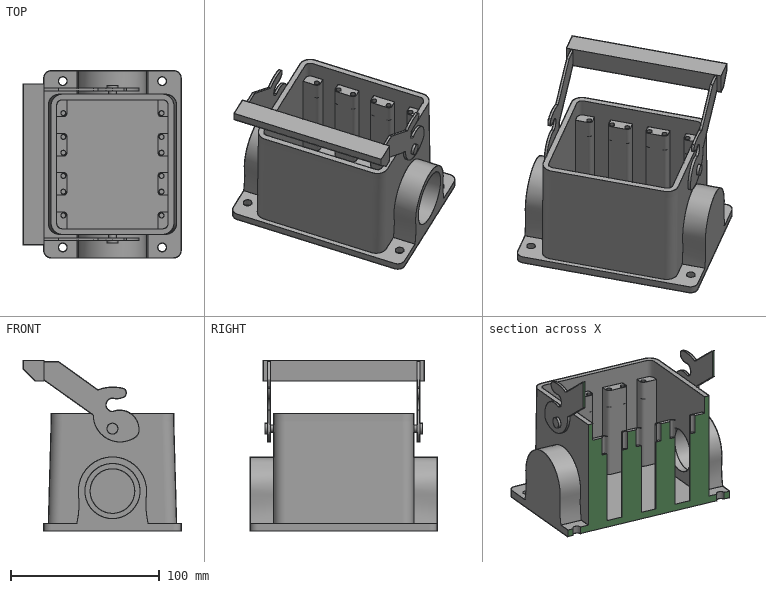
import cadquery as cq
import math


BASE_WIDTH = 92.5
BASE_LENGTH = 126.0
BASE_THICKNESS = 5.2
BASE_CORNER_RADIUS = 5.2
MOUNT_HOLE_DIAMETER = 5.7
MOUNT_HOLE_SPACING_X = 66.8
MOUNT_HOLE_SPACING_Y = 111.8

BOX_LENGTH = 94.2
BOX_BOTTOM_WIDTH = 86.3
RIM_WIDTH = 82.5
RIM_BOTTOM_Z = 73.5
RIM_TOP_Z = 79.1
BOX_CORNER_RADIUS = 7.5
WALL = 3.8
CAVITY_WIDTH = RIM_WIDTH - 2 * WALL
CAVITY_LENGTH = BOX_LENGTH - 2 * WALL

PILLAR_TOP_Z = 67.0
PILLAR_FACE_X = 30.6
SCREW_HOLE_DIAMETER = 3.3
SCREW_HOLE_DEPTH = 12.6
SCREW_HOLE_EDGE = 2.4
MIDDLE_PILLAR_LENGTH = 15.4
MIDDLE_PILLAR_Y = 13.1
CORNER_PILLAR_START_Y = 32.0

ENTRY_Z = 27.0
BOSS_RADIUS = 22.9
BOSS_SHOULDER_DROP = 2.5
BOSS_WAIST_HALF_WIDTH = 22.4
BOSS_WAIST_Z = 18.0
BOSS_FOOT_HALF_WIDTH = 24.0
ENTRY_BORE_RADIUS = 18.5
ENTRY_BORE_DEPTH = 14.6
ENTRY_HOLE_RADIUS = 15.0

BAR_LENGTH = 108.2
BAR_LEFT_X = -60.0
BAR_SIZE = 14.0
BAR_TOP_Z = 114.8
BAR_CHAMFER = 8.1
ARM_OUTER_Y = 51.2
ARM_THICKNESS = 1.8
PIVOT_Z = 68.9
PIVOT_DIAMETER = 5.2
PIVOT_HEAD_DIAMETER = 7.3
PIVOT_HEAD_THICKNESS = 1.9
ARM_TOP_Z = 113.9
NOTCH_RADIUS = 4.4
NOTCH_X = 0.1
NOTCH_Z = 84.9
CAM_RADIUS = 12.9
CAM_X = 4.9
CAM_Z = 68.5
CAM_NOSE = (17.4, 65.5)
CAM_NOSE_END = (15.5, 63.3)
CAM_UNDERSIDE = (0, 60.7)
CAM_HEEL_X = -12.7
CAM_HEEL_BOTTOM_Z = 75.5
CAM_HEEL_TOP_Z = 77.9
SHANK_TOP_CORNER_X = -36.2
SHANK_HOOK_CORNER = (-9.8, 95.0)
SHANK_BOTTOM_Z = 101.5
HOOK_CREST = (0.1, 96.9)
HOOK_TIP_TOP = (7.7, 95.9)
HOOK_TIP = (9.3, 93.0)
HOOK_TIP_BOTTOM = (7.7, 90.1)
HOOK_LOBE = (3.0, 89.0)


def rounded_block(bottom_width, top_width, length, radius, bottom_z, top_z):
    """Upright block with rounded corners whose width changes evenly from bottom to top."""
    bottom = cq.Sketch().rect(bottom_width, length).vertices().fillet(radius)
    top = cq.Sketch().rect(top_width, length).vertices().fillet(radius)
    return (
        cq.Workplane("XY", origin=(0, 0, bottom_z))
        .placeSketch(bottom, top.moved(cq.Location(cq.Vector(0, 0, top_z - bottom_z))))
        .loft(ruled=True)
    )


def outer_box():
    radius = BOX_CORNER_RADIUS
    tapered = rounded_block(BOX_BOTTOM_WIDTH, RIM_WIDTH, BOX_LENGTH, radius, BASE_THICKNESS, RIM_BOTTOM_Z)
    rim = rounded_block(RIM_WIDTH, RIM_WIDTH, BOX_LENGTH, radius, RIM_BOTTOM_Z, RIM_TOP_Z)
    return tapered.union(rim)


def cavity():
    """Straight-sided cavity down to the floor, leaving the pillars standing in it."""
    return (
        cq.Workplane("XY", origin=(0, 0, BASE_THICKNESS))
        .rect(CAVITY_WIDTH, CAVITY_LENGTH)
        .extrude(RIM_TOP_Z - BASE_THICKNESS)
        .edges("|Z")
        .fillet(BOX_CORNER_RADIUS - WALL)
        .cut(pillars())
    )


def base_flange():
    return (
        cq.Workplane("XY")
        .rect(BASE_WIDTH, BASE_LENGTH)
        .extrude(BASE_THICKNESS)
        .edges("|Z")
        .fillet(BASE_CORNER_RADIUS)
        .faces(">Z")
        .workplane()
        .rect(MOUNT_HOLE_SPACING_X, MOUNT_HOLE_SPACING_Y, forConstruction=True)
        .vertices()
        .hole(MOUNT_HOLE_DIAMETER)
    )


def entry_bosses():
    """Both arched bosses as one bar along Y, flaring out to a wider foot on the flange."""
    shoulder_x = math.sqrt(BOSS_RADIUS**2 - BOSS_SHOULDER_DROP**2)
    shoulder_z = ENTRY_Z - BOSS_SHOULDER_DROP
    return (
        cq.Workplane("XZ")
        .moveTo(-BOSS_FOOT_HALF_WIDTH, BASE_THICKNESS)
        .threePointArc((-BOSS_WAIST_HALF_WIDTH, BOSS_WAIST_Z), (-shoulder_x, shoulder_z))
        .threePointArc((0, ENTRY_Z + BOSS_RADIUS), (shoulder_x, shoulder_z))
        .threePointArc((BOSS_WAIST_HALF_WIDTH, BOSS_WAIST_Z), (BOSS_FOOT_HALF_WIDTH, BASE_THICKNESS))
        .close()
        .extrude(BASE_LENGTH / 2, both=True)
    )


def entry_opening():
    """Stepped opening on the -Y side: a wide bore in the boss and a smaller hole in the wall."""
    cavity_depth = (BASE_LENGTH - CAVITY_LENGTH) / 2
    outer_face = cq.Workplane("XZ", origin=(0, -BASE_LENGTH / 2, ENTRY_Z))
    bore = outer_face.circle(ENTRY_BORE_RADIUS).extrude(-ENTRY_BORE_DEPTH)
    hole = outer_face.circle(ENTRY_HOLE_RADIUS).extrude(-cavity_depth)
    return bore.union(hole)


def pillar(side, start_y, end_y):
    """Pillar from the floor, between two Y positions, reaching out past the cavity wall."""
    outer_x = BOX_BOTTOM_WIDTH / 2
    return (
        cq.Workplane("XY", origin=(0, 0, BASE_THICKNESS))
        .center(side * (PILLAR_FACE_X + outer_x) / 2, (start_y + end_y) / 2)
        .rect(outer_x - PILLAR_FACE_X, abs(end_y - start_y))
        .extrude(PILLAR_TOP_Z - BASE_THICKNESS)
        .edges("|Z")
        .fillet(SCREW_HOLE_EDGE)
    )


def pillars():
    """Two middle pillars and two corner pillars on each long side."""
    middle_start = MIDDLE_PILLAR_Y - MIDDLE_PILLAR_LENGTH / 2
    middle_end = MIDDLE_PILLAR_Y + MIDDLE_PILLAR_LENGTH / 2
    group = cq.Workplane("XY")
    for side in (-1, 1):
        for end in (-1, 1):
            group = group.union(pillar(side, end * middle_start, end * middle_end))
            group = group.union(pillar(side, end * CORNER_PILLAR_START_Y, end * BOX_LENGTH / 2))
    return group


def screw_holes():
    hole_x = PILLAR_FACE_X + SCREW_HOLE_EDGE
    middle_offset = MIDDLE_PILLAR_LENGTH / 2 - SCREW_HOLE_EDGE
    hole_ys = (
        MIDDLE_PILLAR_Y - middle_offset,
        MIDDLE_PILLAR_Y + middle_offset,
        CORNER_PILLAR_START_Y + SCREW_HOLE_EDGE,
    )
    points = [(sx * hole_x, sy * y) for sx in (-1, 1) for sy in (-1, 1) for y in hole_ys]
    return (
        cq.Workplane("XY", origin=(0, 0, PILLAR_TOP_Z))
        .pushPoints(points)
        .circle(SCREW_HOLE_DIAMETER / 2)
        .extrude(-SCREW_HOLE_DEPTH)
    )


def make_housing():
    return (
        base_flange()
        .union(outer_box())
        .union(entry_bosses())
        .cut(cavity())
        .cut(entry_opening())
        .cut(screw_holes())
    )


def handle_bar():
    bar_right_x = BAR_LEFT_X + BAR_SIZE
    bar_bottom_z = BAR_TOP_Z - BAR_SIZE
    return (
        cq.Workplane("XZ")
        .moveTo(BAR_LEFT_X, BAR_TOP_Z)
        .lineTo(bar_right_x, BAR_TOP_Z)
        .lineTo(bar_right_x, bar_bottom_z)
        .lineTo(BAR_LEFT_X + BAR_CHAMFER, bar_bottom_z)
        .lineTo(BAR_LEFT_X, bar_bottom_z + BAR_CHAMFER)
        .close()
        .extrude(BAR_LENGTH / 2, both=True)
    )


def lever_arm():
    """Flat arm on the -Y side: a sloping shank, a hook over a round notch, and a cam plate."""
    shank_x = BAR_LEFT_X + BAR_SIZE
    notch_top = (NOTCH_X, NOTCH_Z + NOTCH_RADIUS)
    notch_side = (NOTCH_X - NOTCH_RADIUS, NOTCH_Z)
    notch_bottom = (NOTCH_X, NOTCH_Z - NOTCH_RADIUS)
    cam_side = (CAM_X + CAM_RADIUS, CAM_Z)
    cam_diagonal = CAM_RADIUS * math.sqrt(0.5)
    cam_shoulder = (CAM_X + cam_diagonal, CAM_Z + cam_diagonal)
    return (
        cq.Workplane("XZ", origin=(0, -ARM_OUTER_Y + ARM_THICKNESS, 0))
        .moveTo(shank_x, ARM_TOP_Z)
        .lineTo(SHANK_TOP_CORNER_X, ARM_TOP_Z)
        .lineTo(*SHANK_HOOK_CORNER)
        .threePointArc(HOOK_CREST, HOOK_TIP_TOP)
        .threePointArc(HOOK_TIP, HOOK_TIP_BOTTOM)
        .threePointArc(HOOK_LOBE, notch_top)
        .threePointArc(notch_side, notch_bottom)
        .threePointArc(cam_shoulder, cam_side)
        .threePointArc(CAM_NOSE, CAM_NOSE_END)
        .threePointArc(CAM_UNDERSIDE, (CAM_HEEL_X, CAM_HEEL_BOTTOM_Z))
        .lineTo(CAM_HEEL_X, CAM_HEEL_TOP_Z)
        .lineTo(shank_x, SHANK_BOTTOM_Z)
        .close()
        .extrude(ARM_THICKNESS)
    )


def pivot_pin():
    """Headed pin on the -Y side, joining the arm to the outside of the box wall."""
    wall_y = -BOX_LENGTH / 2
    shank = (
        cq.Workplane("XZ", origin=(0, wall_y, PIVOT_Z))
        .circle(PIVOT_DIAMETER / 2)
        .extrude(wall_y + ARM_OUTER_Y)
    )
    head = (
        cq.Workplane("XZ", origin=(0, -ARM_OUTER_Y, PIVOT_Z))
        .circle(PIVOT_HEAD_DIAMETER / 2)
        .extrude(PIVOT_HEAD_THICKNESS)
    )
    return shank.union(head)


def make_lever():
    side = lever_arm().union(pivot_pin())
    return handle_bar().union(side).union(side.mirror("XZ"))


housing = make_housing()
lever = make_lever()

result = cq.Compound.makeCompound([housing.val(), lever.val()])